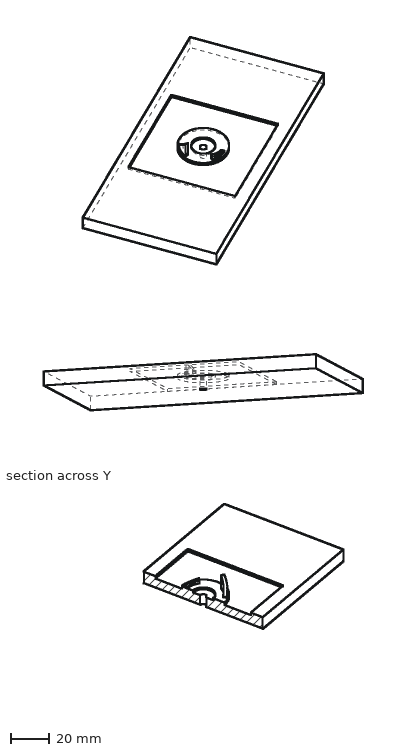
import cadquery as cq

plate_width = 75.0
plate_length = 150.0
plate_thickness = 7.5
overall_height = 15.8

pocket_side = 60.0
pocket_depth = 1.5
pocket_floor = plate_thickness - pocket_depth
disc_radius = 13.5
disc_height = pocket_depth
disc_top = pocket_floor + disc_height

recess_radius = 6.3
recess_depth = 1.2
hole_radius = 1.8

ramp_sweep = 45.0
ramp_foot_height = 0.3
tall_ramp_inner_radius = 10.6
tall_ramp_outer_radius = 12.6
tall_ramp_start = 199.0
tall_ramp_rise = overall_height - disc_top
low_ramp_inner_radius = 10.0
low_ramp_outer_radius = 11.8
low_ramp_rise = 2.1


def cylinder(radius, bottom, height):
    return cq.Workplane("XY").workplane(offset=bottom).circle(radius).extrude(height)


def helical_ramp(inner_radius, outer_radius, rise):
    """Curved ramp climbing counterclockwise from +X, standing on Z = 0."""
    climb = rise - ramp_foot_height
    pitch = climb * 360.0 / ramp_sweep

    def helix(radius, bottom):
        wire = cq.Wire.makeHelix(pitch, climb, radius)
        return wire.Edges()[0].translate(cq.Vector(0, 0, bottom))

    inner_top = helix(inner_radius, ramp_foot_height)
    outer_top = helix(outer_radius, ramp_foot_height)
    inner_bottom = helix(inner_radius, -climb)
    outer_bottom = helix(outer_radius, -climb)
    loop = [inner_top, outer_top, outer_bottom, inner_bottom]
    faces = [cq.Face.makeRuledSurface(a, b) for a, b in zip(loop, loop[1:] + loop[:1])]
    for corners in ([e.startPoint() for e in loop], [e.endPoint() for e in loop]):
        faces.append(cq.Face.makeFromWires(cq.Wire.makePolygon(corners, close=True)))
    band = cq.Solid.makeSolid(cq.Shell.makeShell(faces))
    return cq.Workplane(obj=band).intersect(cylinder(disc_radius, 0, rise))


plate = cq.Workplane("XY").box(plate_width, plate_length, plate_thickness, centered=(True, True, False))
pocket = (
    cq.Workplane("XY")
    .workplane(offset=pocket_floor)
    .rect(pocket_side, pocket_side)
    .extrude(pocket_depth)
)
disc = cylinder(disc_radius, pocket_floor, disc_height)
recess = cylinder(recess_radius, disc_top - recess_depth, recess_depth)
hole = cylinder(hole_radius, 0, plate_thickness)

tall_ramp = (
    helical_ramp(tall_ramp_inner_radius, tall_ramp_outer_radius, tall_ramp_rise)
    .rotate((0, 0, 0), (0, 0, 1), tall_ramp_start)
    .translate((0, 0, disc_top))
)
low_ramp = (
    helical_ramp(low_ramp_inner_radius, low_ramp_outer_radius, low_ramp_rise)
    .mirror("XZ")
    .translate((0, 0, disc_top))
)

result = plate.cut(pocket).union(disc).cut(recess).cut(hole).union(tall_ramp).union(low_ramp)